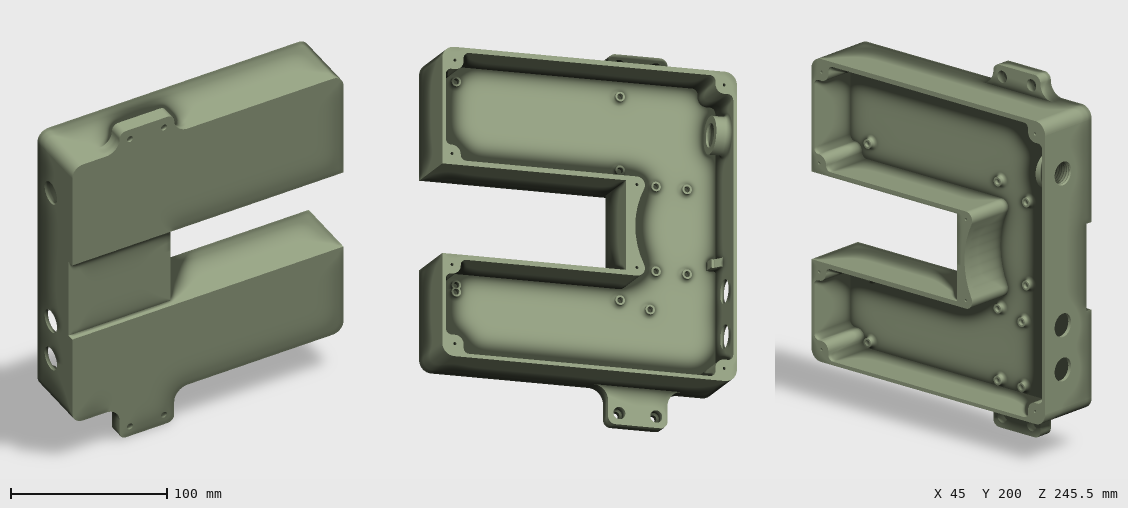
import cadquery as cq
import math

depth = 45.0
width = 200.0
height = 245.5
open_x = -depth / 2
back_x = depth / 2

slot_height = 59.5
upper_arm_height = 78.0
lower_arm_height = 67.8
slot_half = slot_height / 2
slot_end_y = -24.8
body_top = slot_half + upper_arm_height
body_bottom = -slot_half - lower_arm_height
corner_radius = 8.0

tab_thickness = 10.0
tab_width = 40.3
tab_y = slot_end_y - tab_width / 2
tab_corner_radius = 5.0
tab_foot_radius = 10.0
tab_root = 1.2
tab_hole_diameter = 4.5
tab_counterbore_diameter = 8.0
tab_counterbore_depth = 6.1
tab_hole_spacing = 25.0
tab_hole_edge_distance = 7.5

floor_x = back_x - tab_thickness
end_wall = 2.5
top_wall = 3.2
bottom_wall = 2.5
slot_wall = 3.2
cavity_end_y = width / 2 - end_wall
cavity_top = body_top - top_wall
cavity_bottom = body_bottom + bottom_wall
cavity_inner = slot_half + slot_wall

post_radius = 6.0
post_fillet = 3.7
screw_diameter = 2.0
screw_depth = 9.8
outer_screw_y = 91.4
upper_screw_z = 99.0
lower_screw_z = -89.2
arm_screw_y = 93.3
arm_screw_z = 36.8

slot_post_radius = 5.5
slot_post_y = -32.2
slot_post_z = cavity_inner - slot_post_radius
slot_arc_radius = 55.3

notch_depth = 5.0

standoff_diameter = 6.5
standoff_hole_diameter = 4.0
standoff_length = 4.0
base_fillet = 2.2
standoff_places = [
    (79.5, 93.8), (79.5, 45.0), (-31.7, 93.8), (-31.7, 45.0),
    (-56.0, 36.3), (-77.0, 36.3), (-56.0, -20.0), (-77.0, -20.0),
    (79.5, -41.3), (79.5, -45.7), (79.5, -90.0),
    (-31.7, -41.3), (-52.0, -45.7), (-31.7, -90.0), (-52.0, -90.0),
]

cable_hole_diameter = 16.0
cable_hole_x = open_x + 17.2
plain_hole_heights = [-33.2, -63.0]
threaded_hole_z = 69.8
thread_core_diameter = 14.7
thread_turns = 6
boss_diameter = 25.0
boss_length = 9.8

hook_z = -12.8
hook_height = 5.6
hook_length = 6.1
hook_slope = 5.0
hook_rise = 9.8
hook_hollow_width = 2.5
hook_hollow_depth = 1.0
hook_fillet = 0.7


def prism(outline, x_start, x_end):
    """Extrude a closed YZ outline from x_start to x_end."""
    return outline.extrude(x_end - x_start).translate((x_start, 0, 0))


def block(x_range, y_range, z_range):
    """A box between the given limits."""
    size = [limits[1] - limits[0] for limits in (x_range, y_range, z_range)]
    return cq.Workplane("XY").box(*size, centered=False).translate((x_range[0], y_range[0], z_range[0]))


def rod_x(diameter, x_start, x_end, y, z):
    """A cylinder along X."""
    return prism(cq.Workplane("YZ").center(y, z).circle(diameter / 2), x_start, x_end)


def rod_y(diameter, y_start, y_end, x, z):
    """A cylinder along Y."""
    base = cq.Workplane("XZ", origin=(x, y_start, z))
    return base.circle(diameter / 2).extrude(y_start - y_end)


def make_body():
    half = width / 2
    body = block((open_x, back_x), (-half, half), (body_bottom, body_top))
    body = body.edges("|X").fillet(corner_radius)
    slot = block((open_x, back_x), (slot_end_y, half), (-slot_half, slot_half))
    notch = block((back_x - notch_depth, back_x), (-half, half), (-slot_half, slot_half))
    return body.cut(slot).cut(notch)


def make_tab(edge_z, direction):
    """A tab from the body side at edge_z to the far end of the part; direction is +1 up, -1 down."""
    tip_z = direction * height / 2
    half = tab_width / 2
    front_x = back_x - tab_thickness
    thickness = (front_x, back_x)
    tip_face = ">Z" if direction > 0 else "<Z"
    tab = block(thickness, (tab_y - half, tab_y + half), sorted((edge_z, tip_z)))
    tab = tab.faces(tip_face).edges("|X").fillet(tab_corner_radius)
    foot_z = edge_z + direction * tab_foot_radius
    root_z = edge_z - direction * tab_root
    tab = tab.union(block(thickness, (tab_y - half, tab_y + half), sorted((edge_z, root_z))))
    for side in (-1, 1):
        side_y = tab_y + side * half
        foot_y = side_y + side * tab_foot_radius
        foot = block(thickness, sorted((side_y, foot_y)), sorted((root_z, foot_z)))
        foot = foot.cut(rod_x(2 * tab_foot_radius, front_x, back_x, foot_y, foot_z))
        tab = tab.union(foot)
    hole_z = tip_z - direction * tab_hole_edge_distance
    for side in (-1, 1):
        hole_y = tab_y + side * tab_hole_spacing / 2
        tab = tab.cut(rod_x(tab_hole_diameter, front_x, back_x, hole_y, hole_z))
        counterbore_end = front_x + tab_counterbore_depth
        tab = tab.cut(rod_x(tab_counterbore_diameter, front_x, counterbore_end, hole_y, hole_z))
    return tab


def make_slot_end():
    """The solid around the slot end: two posts whose outsides run smoothly into a hollow arc."""
    reach = slot_arc_radius + slot_post_radius
    arc_y = slot_post_y - math.sqrt(reach**2 - slot_post_z**2)
    touch = slot_arc_radius / reach
    touch_y = arc_y + touch * (slot_post_y - arc_y)
    touch_z = touch * slot_post_z
    bridge = (
        cq.Workplane("YZ")
        .moveTo(touch_y, touch_z)
        .threePointArc((arc_y + slot_arc_radius, 0), (touch_y, -touch_z))
        .lineTo(slot_post_y, -slot_post_z)
        .lineTo(slot_post_y, -cavity_inner)
        .lineTo(slot_end_y, -cavity_inner)
        .lineTo(slot_end_y, cavity_inner)
        .lineTo(slot_post_y, cavity_inner)
        .lineTo(slot_post_y, slot_post_z)
        .close()
    )
    solid = prism(bridge, open_x, floor_x)
    for z in (-slot_post_z, slot_post_z):
        solid = solid.union(rod_x(2 * slot_post_radius, open_x, floor_x, slot_post_y, z))
    return solid


corner_screws = [
    (outer_screw_y, upper_screw_z, cavity_end_y, cavity_top),
    (-outer_screw_y, upper_screw_z, -cavity_end_y, cavity_top),
    (outer_screw_y, lower_screw_z, cavity_end_y, cavity_bottom),
    (-outer_screw_y, lower_screw_z, -cavity_end_y, cavity_bottom),
    (arm_screw_y, arm_screw_z, cavity_end_y, cavity_inner),
    (arm_screw_y, -arm_screw_z, cavity_end_y, -cavity_inner),
]


def make_cavity():
    """The hollow of the body, with its corners stepped back and rounded around the screw posts."""
    cavity = block((open_x, floor_x), (-cavity_end_y, cavity_end_y), (cavity_bottom, cavity_top))
    cavity = cavity.cut(
        block((open_x, floor_x), (slot_end_y, cavity_end_y), (-cavity_inner, cavity_inner))
    )
    for y, z, corner_y, corner_z in corner_screws:
        inner_y = y - math.copysign(post_radius, corner_y)
        inner_z = z - math.copysign(post_radius, corner_z - z)
        cavity = cavity.cut(
            block((open_x, floor_x), sorted((inner_y, corner_y)), sorted((inner_z, corner_z)))
        )
        post_edge = cq.selectors.BoxSelector(
            (open_x - 2.5, inner_y - 0.2, inner_z - 0.2), (floor_x + 2.5, inner_y + 0.2, inner_z + 0.2)
        )
        cavity = cavity.edges("|X").edges(post_edge).fillet(post_radius)
        for wall_y, wall_z in ((inner_y, corner_z), (corner_y, inner_z)):
            wall_edge = cq.selectors.BoxSelector(
                (open_x - 2.5, wall_y - 0.2, wall_z - 0.2), (floor_x + 2.5, wall_y + 0.2, wall_z + 0.2)
            )
            cavity = cavity.edges("|X").edges(wall_edge).fillet(post_fillet)
    return cavity.cut(make_slot_end())


def flared_pin(radius, length):
    """A pin along Z that stands on Z = 0 with a hollow fillet around its foot."""
    bend = base_fillet * (1 - math.sqrt(0.5))
    return (
        cq.Workplane("XZ")
        .lineTo(radius + base_fillet, 0)
        .threePointArc((radius + bend, bend), (radius, base_fillet))
        .lineTo(radius, length)
        .lineTo(0, length)
        .close()
        .revolve(360, (0, 0), (0, 1))
    )


def add_standoffs(part):
    pin = flared_pin(standoff_diameter / 2, standoff_length).rotate((0, 0, 0), (0, 1, 0), -90)
    for y, z in standoff_places:
        part = part.union(pin.translate((floor_x, y, z)))
    for y, z in standoff_places:
        part = part.cut(rod_x(standoff_hole_diameter, floor_x - standoff_length, floor_x, y, z))
    return part


def add_boss(part):
    boss = flared_pin(boss_diameter / 2, boss_length).rotate((0, 0, 0), (1, 0, 0), -90)
    return part.union(boss.translate((cable_hole_x, -cavity_end_y, threaded_hole_z)))


def add_hook(part):
    wall_y = -cavity_end_y
    tip_y = wall_y + hook_length
    shoulder_y = tip_y - hook_hollow_width
    shoulder_x = floor_x - hook_rise
    root_x = shoulder_x - hook_slope
    hollow_bottom = (shoulder_x + hook_hollow_depth, tip_y - hook_hollow_width / 2)
    bottom_z = hook_z - hook_height / 2
    hook = (
        cq.Workplane("XY", origin=(0, 0, bottom_z))
        .moveTo(root_x, wall_y)
        .lineTo(shoulder_x, shoulder_y)
        .threePointArc(hollow_bottom, (shoulder_x, tip_y))
        .lineTo(floor_x, tip_y)
        .lineTo(floor_x, wall_y)
        .close()
        .extrude(hook_height)
    )
    foot = cq.selectors.BoxSelector(
        (root_x - 2.5, wall_y - 0.2, bottom_z - 0.2),
        (floor_x - 0.2, wall_y + 0.2, bottom_z + hook_height + 0.2),
    )
    return part.union(hook).edges(foot).fillet(hook_fillet)


def cut_cable_holes(part):
    outside = -width / 2
    for z in plain_hole_heights:
        part = part.cut(rod_y(cable_hole_diameter, outside, -cavity_end_y, cable_hole_x, z))
    return part.cut(make_thread().translate((cable_hole_x, outside, threaded_hole_z)))


def make_thread():
    """The threaded hole as a revolved row of V-shaped rings, starting at Y = 0 with the full diameter."""
    length = end_wall + boss_length
    core = thread_core_diameter / 2
    crest = cable_hole_diameter / 2
    profile = cq.Workplane("XY").lineTo(crest, 0)
    pitch = length / thread_turns
    for turn in range(thread_turns):
        start = turn * pitch
        profile = profile.lineTo(core, start + pitch / 2).lineTo(crest, start + pitch)
    return profile.lineTo(0, length).close().revolve(360, (0, 0), (0, 1))


def cut_screw_holes(part):
    places = [(y, z) for y, z, _, _ in corner_screws]
    places += [(slot_post_y, slot_post_z), (slot_post_y, -slot_post_z)]
    for y, z in places:
        part = part.cut(rod_x(screw_diameter, open_x, open_x + screw_depth, y, z))
    return part


result = make_body().cut(make_cavity())
result = result.union(make_tab(body_top, 1)).union(make_tab(body_bottom, -1))
result = add_standoffs(result)
result = add_boss(result)
result = add_hook(result)
result = cut_cable_holes(result)
result = cut_screw_holes(result)